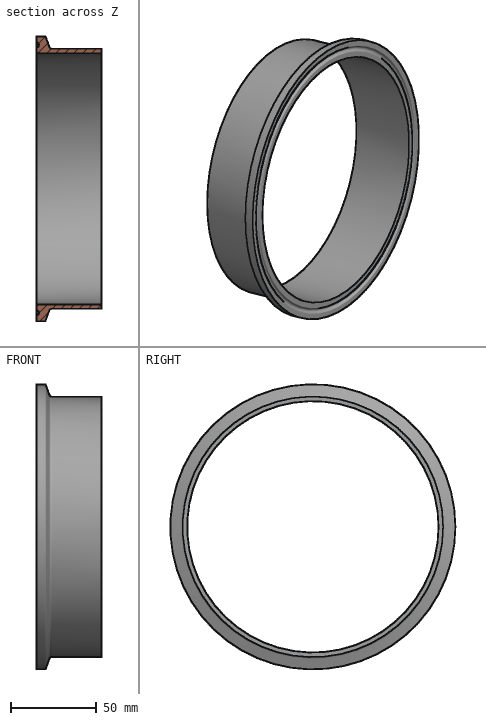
import cadquery as cq
import math

length = 38.0
flange_diameter = 166.9
tube_diameter = 152.4
bore_diameter = 146.9

rim_width = 5.3
taper_angle = 20.0
rim_fillet = 0.5
neck_fillet = 1.5

groove_diameter = 156.9
groove_arc_radius = 1.3
groove_lip_fillet = 0.5

flange_radius = flange_diameter / 2
tube_radius = tube_diameter / 2
bore_radius = bore_diameter / 2
groove_centre = groove_diameter / 2

taper = math.radians(taper_angle)
neck_x = rim_width + (flange_radius - tube_radius) * math.tan(taper)

half_turn = (math.pi / 2 - taper) / 2
rim_reach = rim_fillet * math.tan(half_turn)
neck_reach = neck_fillet * math.tan(half_turn)

centre_spacing = groove_arc_radius + groove_lip_fillet
lip_offset = math.sqrt(centre_spacing**2 - groove_lip_fillet**2)
touch_offset = lip_offset * groove_arc_radius / centre_spacing
touch_depth = groove_lip_fillet * groove_arc_radius / centre_spacing


def add_groove(profile):
    """Continue the profile outward along the flange face and across the gasket groove."""
    return (
        profile.lineTo(0, groove_centre - lip_offset)
        .tangentArcPoint((touch_depth, groove_centre - touch_offset), relative=False)
        .threePointArc(
            (groove_arc_radius, groove_centre),
            (touch_depth, groove_centre + touch_offset),
        )
        .tangentArcPoint((0, groove_centre + lip_offset), relative=False)
    )


def add_rim_and_taper(profile):
    """Continue the profile around the rim and down the filleted taper to the tube."""
    rim_fillet_end = (
        rim_width + rim_reach * math.sin(taper),
        flange_radius - rim_reach * math.cos(taper),
    )
    neck_fillet_start = (
        neck_x - neck_reach * math.sin(taper),
        tube_radius + neck_reach * math.cos(taper),
    )
    return (
        profile.lineTo(0, flange_radius)
        .lineTo(rim_width - rim_reach, flange_radius)
        .tangentArcPoint(rim_fillet_end, relative=False)
        .lineTo(*neck_fillet_start)
        .tangentArcPoint((neck_x + neck_reach, tube_radius), relative=False)
    )


def make_ferrule():
    """Turn the (x, radius) profile of the tube and its flange about the X axis."""
    profile = cq.Workplane("XY").moveTo(0, bore_radius)
    profile = add_groove(profile)
    profile = add_rim_and_taper(profile)
    profile = profile.lineTo(length, tube_radius).lineTo(length, bore_radius).close()
    return profile.revolve(360, (0, 0, 0), (1, 0, 0))


result = make_ferrule()